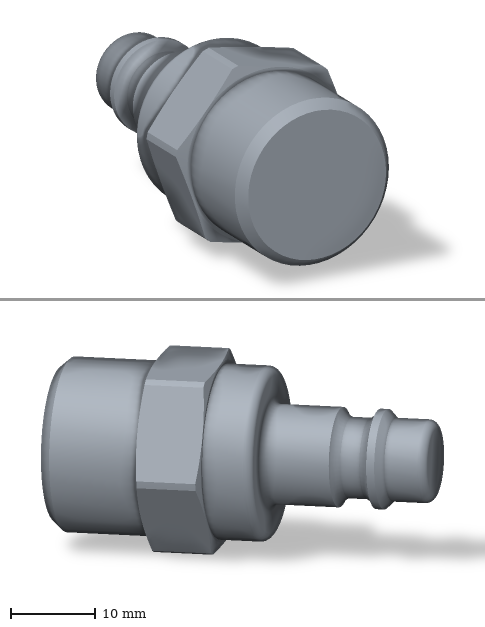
import cadquery as cq
import math

total_length = 46.1
tip_radius = 10.0 / 2
tip_rounding = 1.0
collar_radius = 12.0 / 2
collar_ramp_start = 5.02
collar_start = collar_ramp_start + collar_radius - tip_radius
collar_end = 7.0
groove_radius = 9.75 / 2
groove_depth = collar_radius - groove_radius
groove_start = collar_end + groove_depth
groove_end = 10.45
groove_wall_sag = 0.2
neck_start = groove_end + groove_depth
shoulder_x = 20.0
neck_fillet = 0.8
front_body_radius = 21.0 / 2
rear_body_radius = 20.98 / 2
body_rounding = 1.0
end_chamfer_length = 1.3
end_chamfer_depth = 1.1

hex_start = 26.0
hex_length = 8.0
hex_across_flats = 21.95
hex_corner_diameter = 24.85
hex_tilt = -10.0
hex_chamfer_angle = 15.0


def turned_body():
    """Revolve the stepped plug profile about the X axis."""
    diagonal = math.sqrt(0.5)
    neck_fillet_mid = (
        shoulder_x - neck_fillet * (1 - diagonal),
        collar_radius + neck_fillet * (1 - diagonal),
    )
    tip_mid = (
        tip_rounding * (1 - diagonal),
        tip_radius - tip_rounding * (1 - diagonal),
    )
    body_mid = (
        shoulder_x + body_rounding * (1 - diagonal),
        front_body_radius - body_rounding * (1 - diagonal),
    )
    profile = (
        cq.Workplane("XY")
        .lineTo(0, tip_radius - tip_rounding)
        .threePointArc(tip_mid, (tip_rounding, tip_radius))
        .lineTo(collar_ramp_start, tip_radius)
        .lineTo(collar_start, collar_radius)
        .lineTo(collar_end, collar_radius)
        .sagittaArc((groove_start, groove_radius), -groove_wall_sag)
        .lineTo(groove_end, groove_radius)
        .sagittaArc((neck_start, collar_radius), -groove_wall_sag)
        .lineTo(shoulder_x - neck_fillet, collar_radius)
        .threePointArc(neck_fillet_mid, (shoulder_x, collar_radius + neck_fillet))
        .lineTo(shoulder_x, front_body_radius - body_rounding)
        .threePointArc(body_mid, (shoulder_x + body_rounding, front_body_radius))
        .lineTo(hex_start, front_body_radius)
        .lineTo(hex_start, rear_body_radius)
        .lineTo(total_length - end_chamfer_length, rear_body_radius)
        .lineTo(total_length, rear_body_radius - end_chamfer_depth)
        .lineTo(total_length, 0)
        .close()
    )
    return profile.revolve(360, (0, 0), (1, 0))


def wrench_hexagon():
    """Tilted hexagon with turned corners and conical chamfers at both ends."""
    flat_radius = hex_across_flats / 2
    corner_radius = hex_corner_diameter / 2
    chamfer_length = (corner_radius - flat_radius) * math.tan(math.radians(hex_chamfer_angle))
    hex_end = hex_start + hex_length

    prism = (
        cq.Workplane("YZ", origin=(hex_start, 0, 0))
        .polygon(6, hex_across_flats / math.cos(math.pi / 6))
        .extrude(hex_length)
        .rotate((0, 0, 0), (1, 0, 0), hex_tilt)
    )
    turned_envelope = (
        cq.Workplane("XY")
        .moveTo(hex_start, 0)
        .lineTo(hex_start, flat_radius)
        .lineTo(hex_start + chamfer_length, corner_radius)
        .lineTo(hex_end - chamfer_length, corner_radius)
        .lineTo(hex_end, flat_radius)
        .lineTo(hex_end, 0)
        .close()
        .revolve(360, (0, 0), (1, 0))
    )
    return prism.intersect(turned_envelope)


result = turned_body().union(wrench_hexagon())